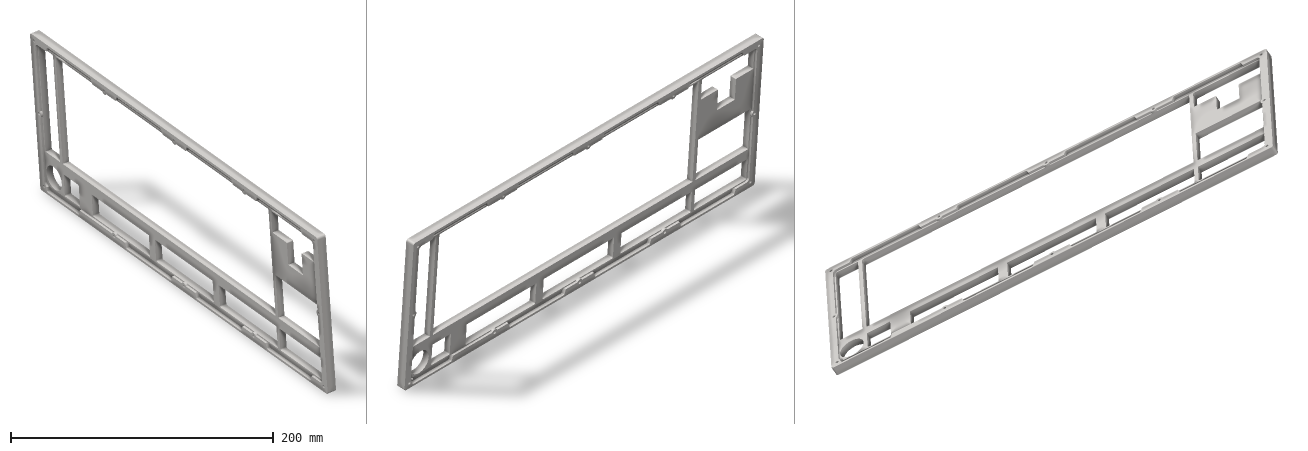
import cadquery as cq

length = 387.5
height = 140.1
thickness = 7.8
tilt_angle = 4.0
corner_radius = 2.0

recess_inset = 6.5
recess_depth = 2.0
recess_radius = 3.0
window_inset = 7.8
window_radius = 1.0

window_left = -length / 2 + window_inset
window_right = length / 2 - window_inset
window_top = height / 2 - window_inset
window_bottom = -height / 2 + window_inset
left_bar = (-166.2, -162.8)
right_bar = (124.5, 128.0)
middle_bar = (-42.5, -33.5)
solid_block = (-142.2, -124.8)
first_divider = (-47.5, -39.5)
second_divider = (38.5, 46.5)

panel_bottom = 5.0
panel_top = 43.0
notch_left = 147.2
notch_right = 167.0
notch_bottom = 23.2
notch_radius = 0.8

knob_diameter = 20.5
knob_x = -176.5

screw_diameter = 2.5
screw_depth = 6.0
screw_inset = 5.0
boss_diameter = 6.2
screw_pitch = 94.0

pocket_depth = 3.0
upper_pocket_rim = 2.5
lower_pocket_rim = 2.0
pocket_flare = 1.5
pocket_radius = 1.0
inner_pocket = (17.0, 77.5)
outer_pocket = (112.0, 171.0)
corner_pocket = (142.0, 185.0)

front = -thickness / 2
back = thickness / 2
plate_front = front + recess_depth


def block_between(x_range, z_range, y_range):
    """Rectangular block spanning the given ranges."""
    size_x, size_y, size_z = (end - start for start, end in (x_range, y_range, z_range))
    corner = cq.Workplane("XY", origin=(x_range[0], y_range[0], z_range[0]))
    return corner.box(size_x, size_y, size_z, centered=False)


def cylinder(x, z, diameter, y_range):
    """Round bar along Y."""
    return cq.Workplane("XZ", origin=(x, y_range[1], z)).circle(diameter / 2).extrude(y_range[1] - y_range[0])


def window(x_range, z_range):
    """Opening through the whole thickness, rounded in the corners that touch the upper or lower rim."""
    opening = block_between(x_range, z_range, (front, back))
    if z_range[1] == window_top:
        opening = opening.faces(">Z").edges("|Y").fillet(window_radius)
    if z_range[0] == window_bottom:
        opening = opening.faces("<Z").edges("|Y").fillet(window_radius)
    return opening


def pocket(x_range, side):
    """Flared pocket in the front of the upper (side=1) or lower (side=-1) rim."""
    rim = upper_pocket_rim if side > 0 else lower_pocket_rim
    outer_z = side * (height / 2 - rim)
    inner_z = side * (height / 2 - recess_inset)
    start, end = x_range
    outline = [
        (start - pocket_flare, inner_z),
        (start, outer_z),
        (end, outer_z),
        (end + pocket_flare, inner_z),
    ]
    floor = cq.Workplane("XZ", origin=(0, front + pocket_depth, 0))
    outer_face = ">Z" if side > 0 else "<Z"
    cutter = floor.polyline(outline).close().extrude(pocket_depth)
    return cutter.faces(outer_face).edges("|Y").fillet(pocket_radius)


frame = block_between((-length / 2, length / 2), (-height / 2, height / 2), (front, back))
frame = frame.edges("|Y").fillet(corner_radius)
recess_x = length / 2 - recess_inset
recess_z = height / 2 - recess_inset
recess = block_between((-recess_x, recess_x), (-recess_z, recess_z), (front, plate_front))
frame = frame.cut(recess.edges("|Y").fillet(recess_radius))

upper = (middle_bar[1], window_top)
lower = (window_bottom, middle_bar[0])
right_column = (right_bar[1], window_right)
windows = [
    ((window_left, left_bar[0]), upper),
    ((left_bar[1], right_bar[0]), upper),
    (right_column, (middle_bar[1], panel_bottom)),
    (right_column, (panel_top, window_top)),
    ((left_bar[1], solid_block[0]), lower),
    ((solid_block[1], first_divider[0]), lower),
    ((first_divider[1], second_divider[0]), lower),
    ((second_divider[1], right_bar[0]), lower),
    (right_column, lower),
]
for x_range, z_range in windows:
    frame = frame.cut(window(x_range, z_range))

frame = frame.cut(block_between((notch_left, notch_right), (notch_bottom, panel_top), (front, back)))
for lip_x in (notch_left, notch_right):
    lip = cq.selectors.NearestToPointSelector((lip_x, (plate_front + back) / 2, panel_top))
    frame = frame.edges("|Y").edges(lip).fillet(notch_radius)

knob_z = (lower[0] + lower[1]) / 2
frame = frame.cut(cylinder(knob_x, knob_z, knob_diameter, (front, back)))

inner_left = (-inner_pocket[1], -inner_pocket[0])
outer_left = (-outer_pocket[1], -outer_pocket[0])
corner_left = (-corner_pocket[1], -corner_pocket[0])
for x_range in (inner_left, inner_pocket, outer_left, outer_pocket):
    frame = frame.cut(pocket(x_range, 1))
for x_range in (inner_left, inner_pocket, corner_left, outer_pocket):
    frame = frame.cut(pocket(x_range, -1))

screw_x = length / 2 - screw_inset
screw_z = height / 2 - screw_inset
boss_points = [(x, z) for x in (-screw_pitch, 0, screw_pitch) for z in (-screw_z, screw_z)]
boss_points += [(-screw_x, 0), (screw_x, 0)]
corner_points = [(x, z) for x in (-screw_x, screw_x) for z in (-screw_z, screw_z)]
for x, z in boss_points:
    frame = frame.union(cylinder(x, z, boss_diameter, (front, plate_front)))
for x, z in boss_points + corner_points:
    frame = frame.cut(cylinder(x, z, screw_diameter, (front, front + screw_depth)))

result = frame.rotate((0, 0, 0), (1, 0, 0), tilt_angle)